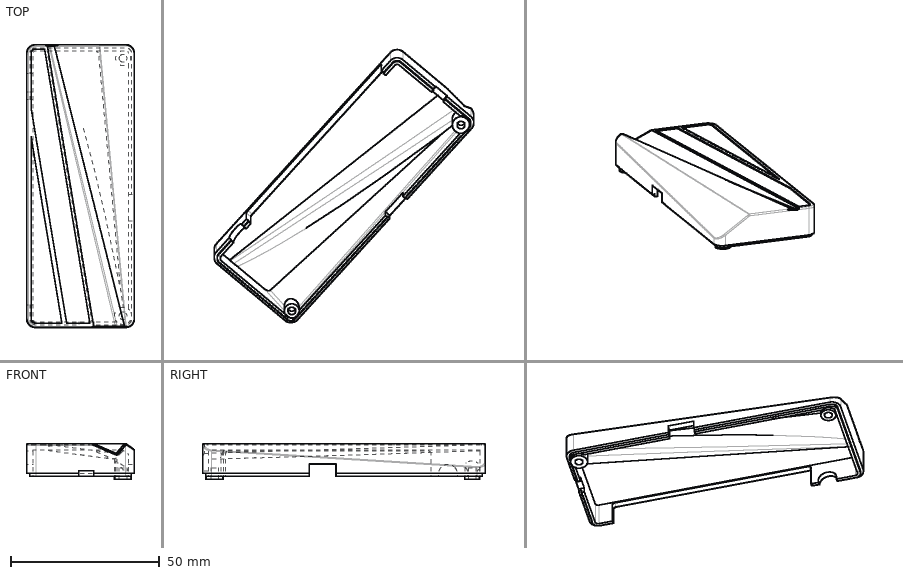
import cadquery as cq
import math

WIDTH = 36.2
LENGTH = 95.0
HEIGHT = 12.0
FOOT_HEIGHT = 1.0
LIP_HEIGHT = 1.0
BODY_BOTTOM = FOOT_HEIGHT + LIP_HEIGHT
CORNER_RADIUS = 3.0
RIM_RADIUS = 0.5
FACET_RIM_RADIUS = 0.4

WALL = 2.0
CAVITY_FILLET = 1.0
LIP_INSET = 1.0
OVERRUN = 5.0

VALLEY_LEFT_FRONT = 22.6
VALLEY_LEFT_BACK = 6.9
VALLEY_RIGHT_FRONT = 33.0
VALLEY_RIGHT_BACK = 9.2
VALLEY_FLOOR_FRONT = 30.2
VALLEY_FLOOR_BACK = 7.5
VALLEY_DEPTH_FRONT = 3.3
VALLEY_FILLET = 0.5
MOUTH_BEVEL = 0.5

FACET_FRONT = 33.3
FACET_BACK = 24.4
FACET_SLOPE = 0.67

PANEL_DEPTH = 0.3
PANEL_INSET = 1.5
PANEL_VALLEY_GAP = 1.1
PANEL_STRIP_RIGHT = 13.45
PANEL_STRIP_WIDTH = 1.6

WINDOW_FRONT = 7.7
WINDOW_BACK = 76.6
WINDOW_TOP = 9.6
WINDOW_RADIUS = 0.8
CABLE_HOLE_Y = 82.3
CABLE_HOLE_RADIUS = 3.15
SIDE_NOTCH_FRONT = 35.9
SIDE_NOTCH_BACK = 44.8
SIDE_NOTCH_TOP = 5.15
END_NOTCH_LEFT = 17.5
END_NOTCH_RIGHT = 22.6
END_NOTCH_TOP = 2.9

POST_X = 32.3
FRONT_POST_Y = 4.0
FRONT_POST_DIAMETER = 5.8
BACK_POST_Y = 90.5
BACK_POST_DIAMETER = 5.0
SCREW_HOLE_DIAMETER = 2.6
SCREW_HOLE_DEPTH = 4.0


def block(x_min, x_max, y_min, y_max, z_min, z_max):
    size = (x_max - x_min, y_max - y_min, z_max - z_min)
    return cq.Workplane("XY").box(*size, centered=False).translate((x_min, y_min, z_min))


def rounded_block(inset, z_min, z_max):
    """The plan outline moved inwards by inset, between two heights."""
    base = block(inset, WIDTH - inset, inset, LENGTH - inset, z_min, z_max)
    return base.edges("|Z").fillet(CORNER_RADIUS - inset)


def along(front, back, y):
    """Value at y of a quantity that changes evenly from the front end to the back end."""
    return front + (back - front) * y / LENGTH


def valley_section(y, grow):
    """V across the valley at y, open above the top, with both slopes moved out by grow."""
    left_slope = VALLEY_DEPTH_FRONT / (VALLEY_FLOOR_FRONT - VALLEY_LEFT_FRONT)
    left = along(VALLEY_LEFT_FRONT, VALLEY_LEFT_BACK, y)
    floor = along(VALLEY_FLOOR_FRONT, VALLEY_FLOOR_BACK, y)
    right = along(VALLEY_RIGHT_FRONT, VALLEY_RIGHT_BACK, y)
    right_slope = left_slope * (floor - left) / (right - floor)
    left_drop = grow * math.hypot(1, left_slope)
    right_drop = grow * math.hypot(1, right_slope)
    floor_x = left * left_slope + right * right_slope - left_drop + right_drop
    floor_x = floor_x / (left_slope + right_slope)
    depth = left_slope * (floor_x - left) + left_drop
    left_top = left - left_drop / left_slope
    right_top = right + right_drop / right_slope
    return [
        (left_top, HEIGHT + OVERRUN),
        (left_top, HEIGHT),
        (floor_x, HEIGHT - depth),
        (right_top, HEIGHT),
        (right_top, HEIGHT + OVERRUN),
    ]


def loft_sections(first_y, first_grow, last_y, last_grow):
    """Ruled solid between two valley sections."""
    wires = []
    for y, grow in ((first_y, first_grow), (last_y, last_grow)):
        points = [cq.Vector(x, y, z) for x, z in valley_section(y, grow)]
        wires.append(cq.Wire.makePolygon(points, close=True))
    return cq.Solid.makeLoft(wires, True)


def valley(grow=0.0):
    """Valley cutter over the full length, rounded along its floor."""
    solid = loft_sections(0.0, grow, LENGTH, grow)
    lengthwise = [edge for edge in solid.Edges() if edge.Length() > LENGTH / 2]
    floor_edge = min(lengthwise, key=lambda edge: edge.Center().z)
    return cq.Workplane(obj=solid.fillet(VALLEY_FILLET + grow, [floor_edge]))


def valley_mouth(end_y, inner_y):
    """Bevel cutter that widens the valley where it runs out through an end wall."""
    return cq.Workplane(obj=loft_sections(end_y, MOUTH_BEVEL, inner_y, 0.0))


def facet(grow=0.0):
    """Everything above the sloped facet, with the slope moved down by grow."""
    drop = grow * math.hypot(1, FACET_SLOPE)
    top = HEIGHT + OVERRUN
    near = FACET_FRONT - (drop + OVERRUN) / FACET_SLOPE
    far = WIDTH + 2 * OVERRUN
    far_z = HEIGHT - drop - FACET_SLOPE * (far - FACET_FRONT)
    points = [cq.Vector(near, 0, top), cq.Vector(far, 0, far_z), cq.Vector(far, 0, top)]
    section = cq.Wire.makePolygon(points, close=True)
    ridge = cq.Vector(FACET_BACK - FACET_FRONT, LENGTH, 0)
    return cq.Workplane(obj=cq.Solid.extrudeLinear(section, [], ridge))


def outer_form():
    """Solid outer shape with its rounded rim, facet and valley."""
    form = rounded_block(0, BODY_BOTTOM, HEIGHT)
    form = form.faces(">Z").edges().fillet(RIM_RADIUS)
    form = form.cut(facet())
    form = form.faces(">X").edges(">Z").fillet(FACET_RIM_RADIUS)
    form = form.cut(valley())
    form = form.cut(valley_mouth(0.0, MOUTH_BEVEL))
    return form.cut(valley_mouth(LENGTH, LENGTH - MOUTH_BEVEL))


def cavity():
    """Open-bottomed hollow that keeps the wall thickness under the facet and valley."""
    hollow = rounded_block(WALL, FOOT_HEIGHT, HEIGHT - WALL)
    hollow = hollow.cut(facet(WALL))
    hollow = hollow.faces(">X").edges(">Z").fillet(CAVITY_FILLET)
    return hollow.cut(valley(WALL))


def panel_cut(points):
    """Cutter over a panel outline, down to the panel floor."""
    tool = cq.Workplane("XY", origin=(0, 0, HEIGHT - PANEL_DEPTH)).polyline(points).close()
    return tool.extrude(OVERRUN)


def panels():
    """Two shallow recesses left of the valley, parted by a strip parallel to it."""
    left = PANEL_INSET
    front = PANEL_INSET
    back = LENGTH - PANEL_INSET
    lean = (VALLEY_LEFT_FRONT - VALLEY_LEFT_BACK) / LENGTH
    strip_left = PANEL_STRIP_RIGHT - PANEL_STRIP_WIDTH
    right_front = VALLEY_LEFT_FRONT - PANEL_VALLEY_GAP - lean * front
    right_back = VALLEY_LEFT_FRONT - PANEL_VALLEY_GAP - lean * back
    outer_panel = panel_cut([
        (left, front),
        (strip_left, front),
        (left, front + (strip_left - left) / lean),
    ])
    inner_panel = panel_cut([
        (PANEL_STRIP_RIGHT, front),
        (right_front, front),
        (right_back, back),
        (left, back),
        (left, front + (PANEL_STRIP_RIGHT - left) / lean),
    ])
    corner_radius = CORNER_RADIUS - PANEL_INSET
    outer_panel = outer_panel.edges("|Z and <X and <Y").fillet(corner_radius)
    inner_panel = inner_panel.edges("|Z").edges("<X").edges(">Y").fillet(corner_radius)
    return outer_panel.union(inner_panel)


def window():
    """Tall opening in the left wall with rounded upper corners."""
    opening = block(-OVERRUN, WALL, WINDOW_FRONT, WINDOW_BACK, 0, WINDOW_TOP)
    return opening.edges("|X and >Z").fillet(WINDOW_RADIUS)


def cable_hole():
    """Round-topped opening in the left wall, running straight down to the bottom."""
    arch = cq.Workplane("YZ", origin=(-OVERRUN, CABLE_HOLE_Y, BODY_BOTTOM)).circle(CABLE_HOLE_RADIUS)
    y_min = CABLE_HOLE_Y - CABLE_HOLE_RADIUS
    y_max = CABLE_HOLE_Y + CABLE_HOLE_RADIUS
    return arch.extrude(OVERRUN + WALL).union(block(-OVERRUN, WALL, y_min, y_max, 0, BODY_BOTTOM))


def side_notch():
    """Notch in the right wall, opposite the window."""
    return block(WIDTH - WALL, WIDTH + OVERRUN, SIDE_NOTCH_FRONT, SIDE_NOTCH_BACK, 0, SIDE_NOTCH_TOP)


def end_notch():
    """Low notch in the front wall."""
    return block(END_NOTCH_LEFT, END_NOTCH_RIGHT, -OVERRUN, WALL, 0, END_NOTCH_TOP)


def post(y, diameter):
    """Post from the foot up into the roof, without reaching the outer faces."""
    column = cq.Workplane("XY").center(POST_X, y).circle(diameter / 2).extrude(HEIGHT - WALL / 2)
    return column.cut(facet(WALL / 2)).cut(valley(WALL / 2))


def screw_hole(y):
    """Blind screw hole, entered from the foot."""
    return cq.Workplane("XY").center(POST_X, y).circle(SCREW_HOLE_DIAMETER / 2).extrude(SCREW_HOLE_DEPTH)


posts = (
    (FRONT_POST_Y, FRONT_POST_DIAMETER),
    (BACK_POST_Y, BACK_POST_DIAMETER),
)

result = outer_form()
result = result.union(rounded_block(LIP_INSET, FOOT_HEIGHT, BODY_BOTTOM))
for cutter in (cavity(), panels(), window(), cable_hole(), side_notch(), end_notch()):
    result = result.cut(cutter)
for post_y, post_diameter in posts:
    result = result.union(post(post_y, post_diameter))
    result = result.cut(screw_hole(post_y))